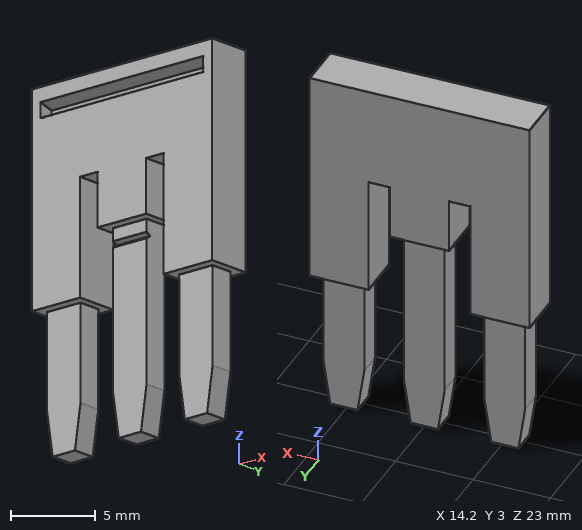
import cadquery as cq

total_height = 22.98
body_width = 14.2
body_thickness = 3.0

body_height = 13.85
column_width = 3.81
gap_top_depth = 6.32
middle_column_height = 9.8

pin_pitch = 5.2
pin_width = 2.65
pin_thickness = 1.6
tip_width = 1.77
tip_height = 2.87

slot_width = 12.78
slot_top_depth = 0.97
slot_floor_top_depth = 1.25
slot_floor_bottom_depth = 1.6
slot_bottom_depth = 1.95
slot_reach = 0.99

groove_middle_depth = 10.8
groove_height = 0.4
groove_reach = 0.3

body_front = -body_thickness / 2
pin_front = -pin_thickness / 2
body_bottom = total_height - body_height
middle_bottom = total_height - middle_column_height


def block(width, thickness, bottom, top, center_x=0.0):
    """Box centred on Y that spans the given heights."""
    return (
        cq.Workplane("XY", origin=(center_x, 0, bottom))
        .rect(width, thickness)
        .extrude(top - bottom)
    )


def make_body():
    """Bar across the top with two long outer columns and a short middle one."""
    body = block(body_width, body_thickness, total_height - gap_top_depth, total_height)
    body = body.union(block(column_width, body_thickness, middle_bottom, total_height))
    column_x = (body_width - column_width) / 2
    for side in (-1, 1):
        column = block(column_width, body_thickness, body_bottom, total_height, side * column_x)
        body = body.union(column)
    return body


def make_pin(center_x, top):
    """Flat pin whose sides taper to a narrower square end."""
    outline = [
        (-tip_width / 2, 0),
        (tip_width / 2, 0),
        (pin_width / 2, tip_height),
        (pin_width / 2, top),
        (-pin_width / 2, top),
        (-pin_width / 2, tip_height),
    ]
    return (
        cq.Workplane("XZ", origin=(center_x, 0, 0))
        .polyline(outline)
        .close()
        .extrude(pin_thickness / 2, both=True)
    )


def cut_prism(width, profile):
    """Prism along X, centred on the part, from a profile of (Y, Z) points."""
    return cq.Workplane("YZ").polyline(profile).close().extrude(width / 2, both=True)


result = make_body()
for pin_x, pin_top in ((-pin_pitch, body_bottom), (0.0, middle_bottom), (pin_pitch, body_bottom)):
    result = result.union(make_pin(pin_x, pin_top))

slot_floor = body_front + slot_reach
grip_slot = cut_prism(
    slot_width,
    [
        (body_front, total_height - slot_bottom_depth),
        (slot_floor, total_height - slot_floor_bottom_depth),
        (slot_floor, total_height - slot_floor_top_depth),
        (body_front, total_height - slot_top_depth),
    ],
)

groove_z = total_height - groove_middle_depth
pin_groove = cut_prism(
    pin_width,
    [
        (pin_front, groove_z - groove_height / 2),
        (pin_front + groove_reach, groove_z),
        (pin_front, groove_z + groove_height / 2),
    ],
)

result = result.cut(grip_slot).cut(pin_groove)